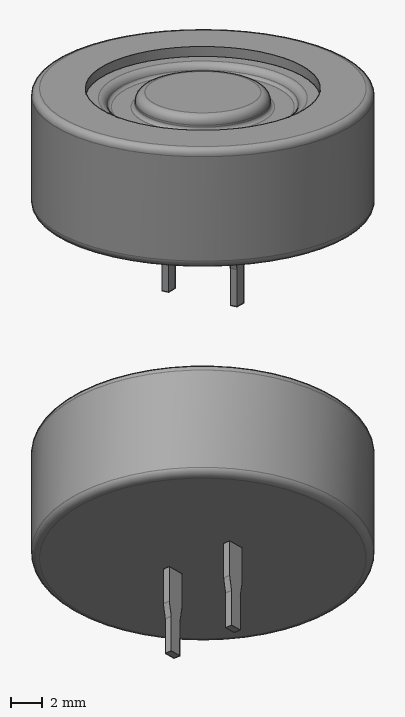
import cadquery as cq
import math

HOUSING_DIAMETER = 21.5
HOUSING_HEIGHT = 8.0
RIM_FILLET = 0.5

RECESS_DIAMETER = 14.75
RECESS_DEPTH = 0.67
LIP_OUTER_RADIUS = 6.55
LIP_INFLECTION_RADIUS = 6.0
WELL_FLOOR_RADIUS = 5.75
WELL_DEPTH = 0.58

BUTTON_DIAMETER = 8.5
BUTTON_HEIGHT = 0.99
BUTTON_TOP_FILLET = 0.6
BUTTON_BASE_FILLET = 0.25

PIN_SPACING = 5.0
PIN_THICKNESS = 0.5
PIN_LENGTH = 6.0
PIN_ROOT_WIDTH = 1.2
PIN_TIP_WIDTH = 0.84
TAPER_START_DEPTH = 2.5
TAPER_END_DEPTH = 3.5

ledge_z = HOUSING_HEIGHT - RECESS_DEPTH
well_z = ledge_z - WELL_DEPTH
button_top_z = well_z + BUTTON_HEIGHT


def make_can():
    """Plain cylinder with both outer edges rounded."""
    can = cq.Workplane("XY").circle(HOUSING_DIAMETER / 2).extrude(HOUSING_HEIGHT)
    return can.edges("%CIRCLE").fillet(RIM_FILLET)


def make_recess_cutter():
    """Volume removed above the ledge, the rolled lip, the well floor and the button."""
    recess_radius = RECESS_DIAMETER / 2
    button_radius = BUTTON_DIAMETER / 2

    lip_width = LIP_OUTER_RADIUS - WELL_FLOOR_RADIUS
    convex_width = LIP_OUTER_RADIUS - LIP_INFLECTION_RADIUS
    inflection_z = ledge_z - WELL_DEPTH * convex_width / lip_width

    mid_offset = 1 - math.sqrt(0.5)
    base_mid = BUTTON_BASE_FILLET * mid_offset
    top_mid = BUTTON_TOP_FILLET * mid_offset

    profile = (
        cq.Workplane("XZ")
        .moveTo(0, HOUSING_HEIGHT)
        .lineTo(recess_radius, HOUSING_HEIGHT)
        .lineTo(recess_radius, ledge_z)
        .lineTo(LIP_OUTER_RADIUS, ledge_z)
        .tangentArcPoint((LIP_INFLECTION_RADIUS, inflection_z), relative=False)
        .tangentArcPoint((WELL_FLOOR_RADIUS, well_z), relative=False)
        .lineTo(button_radius + BUTTON_BASE_FILLET, well_z)
        .threePointArc(
            (button_radius + base_mid, well_z + base_mid),
            (button_radius, well_z + BUTTON_BASE_FILLET),
        )
        .lineTo(button_radius, button_top_z - BUTTON_TOP_FILLET)
        .threePointArc(
            (button_radius - top_mid, button_top_z - top_mid),
            (button_radius - BUTTON_TOP_FILLET, button_top_z),
        )
        .lineTo(0, button_top_z)
        .close()
    )
    return profile.revolve(360, (0, 0, 0), (0, 1, 0))


def make_pin(center_x):
    """Flat pin with a wide root, a short taper and a narrow tip."""
    root = PIN_ROOT_WIDTH / 2
    tip = PIN_TIP_WIDTH / 2
    return (
        cq.Workplane("YZ", origin=(center_x, 0, 0))
        .polyline([
            (-root, 0),
            (-root, -TAPER_START_DEPTH),
            (-tip, -TAPER_END_DEPTH),
            (-tip, -PIN_LENGTH),
            (tip, -PIN_LENGTH),
            (tip, -TAPER_END_DEPTH),
            (root, -TAPER_START_DEPTH),
            (root, 0),
        ])
        .close()
        .extrude(PIN_THICKNESS / 2, both=True)
    )


housing = make_can().cut(make_recess_cutter())
pins = [make_pin(side * PIN_SPACING / 2) for side in (-1, 1)]

result = cq.Compound.makeCompound([housing.val(), *[pin.val() for pin in pins]])